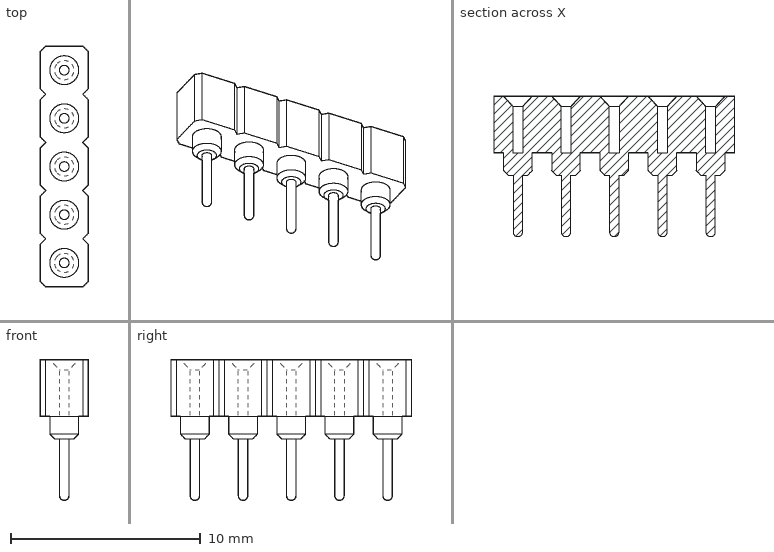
import cadquery as cq

pin_count = 5
pitch = 2.54
body_height = 3.0
corner_cut = 0.29

overall_height = 7.43
pin_diameter = 0.51
collar_diameter = 1.52
collar_height = 1.2
collar_chamfer = 0.25
funnel_depth = 0.55
bore_depth = body_height

pin_radius = pin_diameter / 2
collar_radius = collar_diameter / 2
body_bottom = overall_height - body_height
collar_bottom = body_bottom - collar_height
pin_positions = [(0, (i - (pin_count - 1) / 2) * pitch) for i in range(pin_count)]


def make_cell():
    """One housing cell; neighbouring corner cuts form the V notches."""
    return (
        cq.Workplane("XY")
        .box(pitch, pitch, body_height, centered=(True, True, False))
        .edges("|Z")
        .chamfer(corner_cut)
        .translate((0, 0, body_bottom))
    )


def make_pin():
    """Collar and pin revolved about Z, with a hemispherical tip at Z = 0."""
    tip_mid = pin_radius * 0.5 ** 0.5
    return (
        cq.Workplane("XZ")
        .moveTo(0, 0)
        .threePointArc((tip_mid, pin_radius - tip_mid), (pin_radius, pin_radius))
        .lineTo(pin_radius, collar_bottom)
        .lineTo(collar_radius - collar_chamfer, collar_bottom)
        .lineTo(collar_radius, collar_bottom + collar_chamfer)
        .lineTo(collar_radius, body_bottom)
        .lineTo(0, body_bottom)
        .close()
        .revolve(360, (0, 0, 0), (0, 1, 0))
    )


def make_socket():
    """Cutter for the conical mouth and the blind bore beneath it."""
    return (
        cq.Workplane("XZ")
        .moveTo(0, overall_height)
        .lineTo(collar_radius, overall_height)
        .lineTo(pin_radius, overall_height - funnel_depth)
        .lineTo(pin_radius, overall_height - bore_depth)
        .lineTo(0, overall_height - bore_depth)
        .close()
        .revolve(360, (0, 0, 0), (0, 1, 0))
    )


contact_cell = make_cell().union(make_pin()).cut(make_socket())

result = contact_cell.translate((*pin_positions[0], 0))
for x, y in pin_positions[1:]:
    result = result.union(contact_cell.translate((x, y, 0)))
result = result.clean()